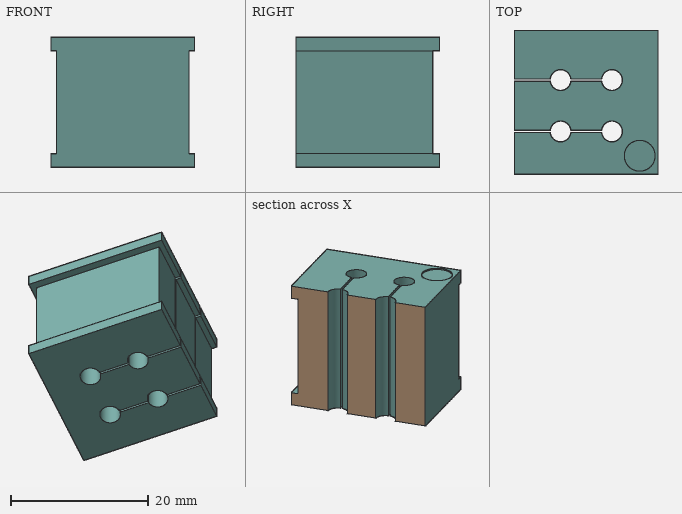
import cadquery as cq

width = 21.0
depth = 21.0
height = 19.0

flange_thickness = 2.0
side_recess = 0.8
back_recess = 1.0

hole_diameter = 3.0
hole_pitch = 7.5
front_row_y = -4.25
hole_rows_y = (front_row_y, front_row_y + hole_pitch)
hole_columns_x = (-hole_pitch / 2, hole_pitch / 2)
slot_width = 0.3

mark_diameter = 4.5
mark_depth = 0.2
mark_edge_distance = 2.7


def flanged_block():
    """Full-size block with a waist set back on -X, +X and +Y, flush on -Y."""
    waist_height = height - 2 * flange_thickness
    waist_width = width - 2 * side_recess
    waist_depth = depth - back_recess
    plate = cq.Workplane("XY").box(width, depth, flange_thickness, centered=(True, True, False))
    waist = (
        cq.Workplane("XY")
        .box(waist_width, waist_depth, waist_height, centered=(True, True, False))
        .translate((0, -back_recess / 2, flange_thickness))
    )
    top_plate = plate.translate((0, 0, height - flange_thickness))
    return plate.union(waist).union(top_plate)


def cable_row(row_y):
    """Cutter for one row of through holes and the slot that joins them to -X."""
    slot_start = -width / 2
    slot_length = max(hole_columns_x) - slot_start
    slot = (
        cq.Workplane("XY")
        .box(slot_length, slot_width, height, centered=(False, True, False))
        .translate((slot_start, row_y, 0))
    )
    holes = (
        cq.Workplane("XY")
        .pushPoints([(column_x, row_y) for column_x in hole_columns_x])
        .circle(hole_diameter / 2)
        .extrude(height)
    )
    return slot.union(holes)


def marking_recess():
    """Cutter for the shallow round recess in the top face."""
    return (
        cq.Workplane("XY", origin=(0, 0, height - mark_depth))
        .center(width / 2 - mark_edge_distance, -depth / 2 + mark_edge_distance)
        .circle(mark_diameter / 2)
        .extrude(mark_depth)
    )


result = flanged_block()
for row_y in hole_rows_y:
    result = result.cut(cable_row(row_y))
result = result.cut(marking_recess())